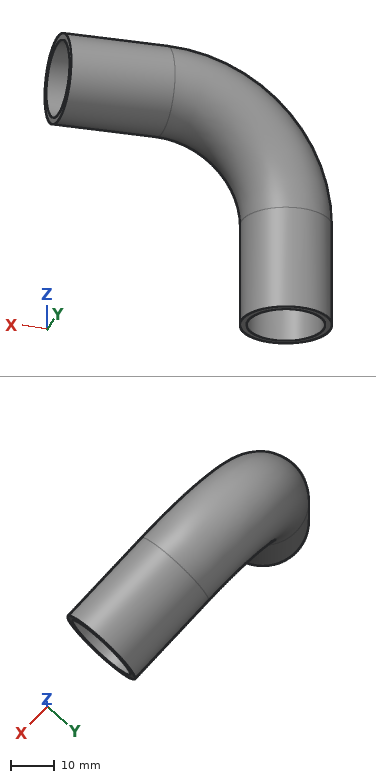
import cadquery as cq
import math

overall_size = 65.65
outer_diameter = 21.3
bore_diameter = 18.1
straight_length = 25.0

bend_radius = overall_size - outer_diameter / 2 - straight_length
centerline_end = straight_length + bend_radius
bend_rise = bend_radius * math.sin(math.radians(45))
bend_offset = bend_radius - bend_rise


def elbow_centerline():
    """Vertical leg, quarter-circle bend, then a leg along +X."""
    return (
        cq.Workplane("XZ")
        .lineTo(0, straight_length)
        .threePointArc(
            (bend_offset, straight_length + bend_rise),
            (bend_radius, centerline_end),
        )
        .lineTo(centerline_end, centerline_end)
    )


pipe_section = cq.Workplane("XY").circle(outer_diameter / 2).circle(bore_diameter / 2)
result = pipe_section.sweep(elbow_centerline())